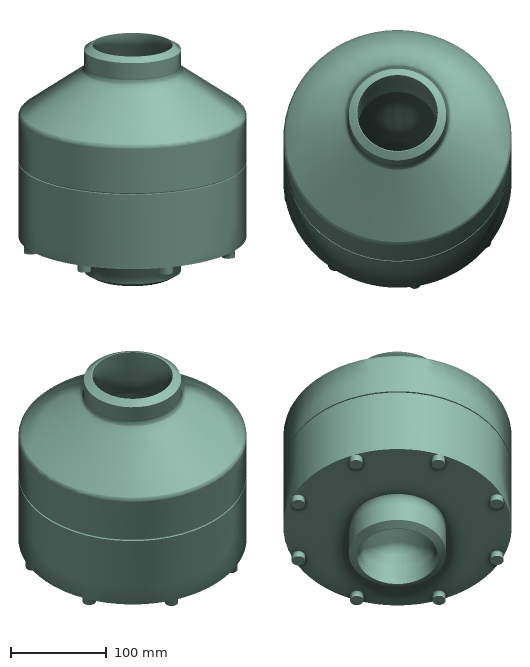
import cadquery as cq
import math

total_height = 250
body_radius = 238.0 / 2
pipe_radius = 101.5 / 2
bore_radius = 84.0 / 2

lip_width = 0.8
bevel_angle = 30
bevel_width = pipe_radius - bore_radius - lip_width
bevel_height = bevel_width * math.tan(math.radians(bevel_angle))

body_bottom = 41.8
shoulder_height = 175.5
neck_height = 224.2
blend_radius = 5
groove_radius = 232.0 / 2
groove_bottom = 122.8
groove_width = 1.8

chamber_top = 197.5
chamber_top_radius = 70

bolt_count = 8
bolt_radius = 14.0 / 2
bolt_length = 7.5
bolt_circle_radius = body_radius - bolt_radius


def turned(profile):
    """Revolve an (r, z) profile around the Z axis."""
    return (
        cq.Workplane("XZ")
        .polyline(profile)
        .close()
        .revolve(360, (0, 0, 0), (0, 1, 0))
    )


def housing():
    """Solid body with a conical top and a pipe stub at each end."""
    lip_radius = bore_radius + lip_width
    outer = turned([
        (0, 0),
        (lip_radius, 0),
        (pipe_radius, bevel_height),
        (pipe_radius, body_bottom),
        (body_radius, body_bottom),
        (body_radius, shoulder_height),
        (pipe_radius, neck_height),
        (pipe_radius, total_height - bevel_height),
        (lip_radius, total_height),
        (0, total_height),
    ])
    margin = 0.2
    cone_zone = cq.selectors.BoxSelector(
        (-body_radius, -body_radius, shoulder_height - margin),
        (body_radius, body_radius, neck_height + margin),
        boundingbox=False,
    )
    cone_edges = outer.edges("%CIRCLE").edges(cone_zone)
    return cone_edges.fillet(blend_radius)


def flow_passage():
    """Through bore with the tapered chamber."""
    return turned([
        (0, 0),
        (bore_radius, 0),
        (bore_radius, body_bottom),
        (chamber_top_radius, chamber_top),
        (bore_radius, chamber_top),
        (bore_radius, total_height),
        (0, total_height),
    ])


def joint_groove():
    """Narrow ring groove between the two halves of the body."""
    return (
        cq.Workplane("XY")
        .workplane(offset=groove_bottom)
        .circle(body_radius)
        .circle(groove_radius)
        .extrude(groove_width)
    )


def bolt_ends():
    """Ring of short pins below the body."""
    return (
        cq.Workplane("XY")
        .workplane(offset=body_bottom)
        .polarArray(bolt_circle_radius, 0, 360, bolt_count)
        .circle(bolt_radius)
        .extrude(-bolt_length)
    )


result = (
    housing()
    .cut(joint_groove())
    .cut(flow_passage())
    .union(bolt_ends())
)